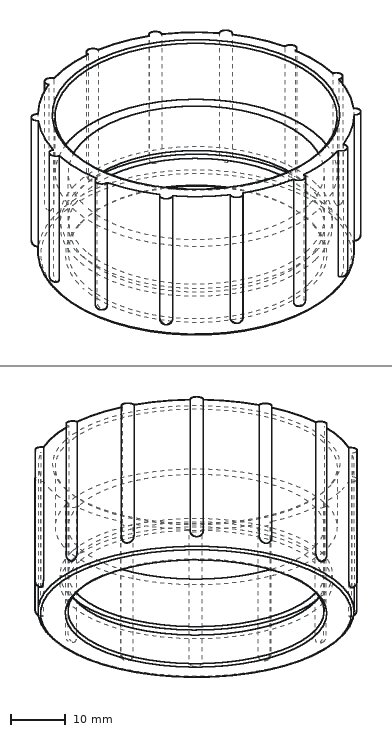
import cadquery as cq

height = 30.0
outer_diameter = 58.0
outer_bottom_chamfer = 0.5

through_diameter = 47.0
socket_diameter = 51.8
socket_depth = 12.5
bore_edge_chamfer = 0.5

groove_diameter = 50.0
groove_floor = 6.25
groove_width = 1.7

rib_count = 14
rib_radius = 1.2
rib_tip_radius = 30.25
rib_straight_bottom = 3.6
first_rib_angle = 90.0


def disc(diameter, bottom, thickness):
    """Solid cylinder on the Z axis."""
    return cq.Workplane("XY").workplane(offset=bottom).circle(diameter / 2).extrude(thickness)


def make_ribs():
    """Round vertical ribs spaced evenly around the sleeve."""
    centers = cq.Workplane("XY").workplane(offset=rib_straight_bottom).polarArray(
        rib_tip_radius - rib_radius, first_rib_angle, 360, rib_count
    )
    shafts = centers.circle(rib_radius).extrude(height - rib_straight_bottom)
    return shafts.union(centers.sphere(rib_radius))


def make_flare(bore_diameter, end_height, depth):
    """45 degree cone that chamfers a bore end; a negative depth runs downward."""
    mouth_radius = bore_diameter / 2 + abs(depth)
    return cq.Workplane("XY").workplane(offset=end_height).circle(mouth_radius).extrude(depth, taper=45)


def make_bore():
    """Through hole, upper socket, internal groove and chamfered ends."""
    through_hole = disc(through_diameter, 0, height)
    socket = disc(socket_diameter, height - socket_depth, socket_depth)
    top_flare = make_flare(socket_diameter, height, -bore_edge_chamfer)
    bottom_flare = make_flare(through_diameter, 0, bore_edge_chamfer)
    groove = disc(groove_diameter, groove_floor, groove_width)
    return through_hole.union(socket).union(top_flare).union(bottom_flare).union(groove)


sleeve = disc(outer_diameter, 0, height).faces("<Z").chamfer(outer_bottom_chamfer)
result = sleeve.union(make_ribs()).cut(make_bore())